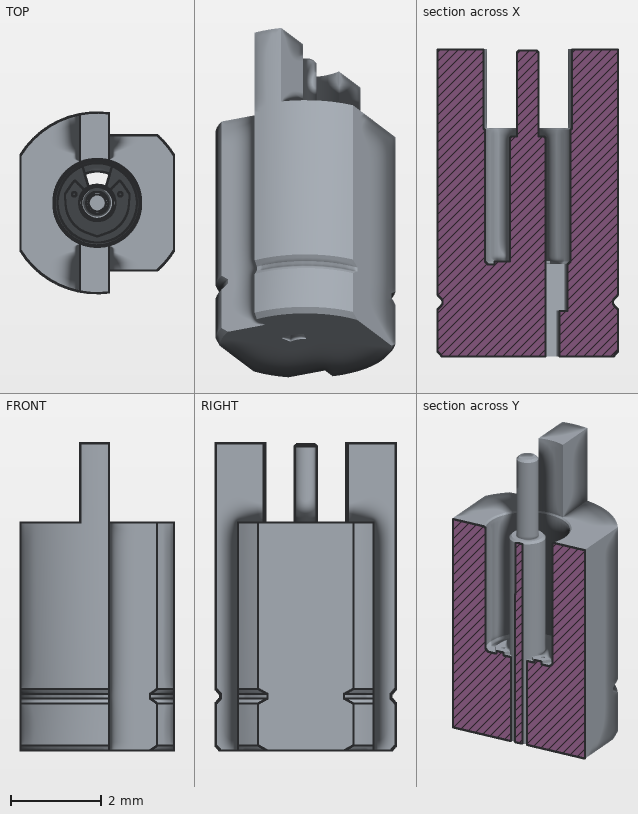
import cadquery as cq
import math

HEIGHT = 6.8
BODY_HEIGHT = 5.045
BODY_RADIUS = 2.0
SIDE_FLAT_X = 1.7
STEP_X = 0.265
STEP_HALF_WIDTH = 1.495
LEG_LEFT_X = -0.38

GROOVE_BOTTOM_Z = 1.04
GROOVE_TOP_Z = 1.37
GROOVE_DEPTH = 0.1
GROOVE_FLANK = 0.115
BASE_CHAMFER_HEIGHT = 0.115
BASE_CHAMFER_WIDTH = 0.1

LEG_GAP_RADIUS = 0.97
RIM_CHAMFER = 0.035
BORE_RADIUS = LEG_GAP_RADIUS - RIM_CHAMFER
FLOOR_CHAMFER = 0.06
FLOOR_RADIUS = BORE_RADIUS - FLOOR_CHAMFER
FLOOR_Z = 2.04

PIN_RADIUS = 0.245
PIN_TOP_Z = 6.78
PIN_CHAMFER = 0.055
SHOULDER_RADIUS = 0.4
SHOULDER_TOP_Z = 4.875
SHOULDER_CHAMFER = 0.05

PAD_RADIUS = 0.7
PAD_TIP_RADIUS = 0.74
PAD_SIDE_TIP_ANGLE = 15.0
PAD_OPENING_START = 45.0
PAD_HEIGHT = 0.07
PAD_HOLE_RADIUS = 0.05
PAD_HOLE_X = 0.51
PAD_HOLE_Y = 0.19
PAD_HOLE_DEPTH = 0.135

WINDOW_NARROW_HALF_WIDTH = 0.19
WINDOW_WIDE_HALF_WIDTH = 0.35
WINDOW_NARROW_Y = 0.355
WINDOW_LEDGE_Z = 1.02
WINDOW_THROUGH_RADIUS = 0.695


def revolve_profile(points):
    """Turn a closed radius-height profile around the Z axis."""
    return cq.Workplane("XZ").polyline(points).close().revolve(360, (0, 0), (0, 1))


def cylinder(radius, bottom, top):
    return cq.Workplane("XY").workplane(offset=bottom).circle(radius).extrude(top - bottom)


def block(x_min, x_max, half_width, bottom, top):
    return (
        cq.Workplane("XY")
        .workplane(offset=bottom)
        .center((x_min + x_max) / 2, 0)
        .rect(x_max - x_min, 2 * half_width)
        .extrude(top - bottom)
    )


def make_shell():
    """Grooved round body, trimmed by the side flats and the narrower +X part."""
    groove_radius = BODY_RADIUS - GROOVE_DEPTH
    turned = revolve_profile([
        (0, 0),
        (BODY_RADIUS - BASE_CHAMFER_WIDTH, 0),
        (BODY_RADIUS, BASE_CHAMFER_HEIGHT),
        (BODY_RADIUS, GROOVE_BOTTOM_Z),
        (groove_radius, GROOVE_BOTTOM_Z + GROOVE_FLANK),
        (groove_radius, GROOVE_TOP_Z - GROOVE_FLANK),
        (BODY_RADIUS, GROOVE_TOP_Z),
        (BODY_RADIUS, HEIGHT),
        (0, HEIGHT),
    ])
    wide_part = block(-SIDE_FLAT_X, STEP_X, BODY_RADIUS, 0, BODY_HEIGHT)
    narrow_part = block(STEP_X, SIDE_FLAT_X, STEP_HALF_WIDTH, 0, BODY_HEIGHT)
    legs = block(LEG_LEFT_X, STEP_X, BODY_RADIUS, BODY_HEIGHT, HEIGHT)
    return turned.intersect(wide_part.union(narrow_part).union(legs))


def make_bore():
    """Straight gap between the legs, then the bore with its two chamfers."""
    return revolve_profile([
        (0, FLOOR_Z),
        (FLOOR_RADIUS, FLOOR_Z),
        (BORE_RADIUS, FLOOR_Z + FLOOR_CHAMFER),
        (BORE_RADIUS, BODY_HEIGHT - RIM_CHAMFER),
        (LEG_GAP_RADIUS, BODY_HEIGHT),
        (LEG_GAP_RADIUS, HEIGHT),
        (0, HEIGHT),
    ])


def polar_point(radius, angle):
    """Point at a distance from the Z axis and an angle in degrees from +X."""
    return radius * math.cos(math.radians(angle)), radius * math.sin(math.radians(angle))


def make_pad():
    """Disc sector open towards +Y, with three tips whose sides run tangent to its edge."""
    tip_half_angle = math.degrees(math.acos(PAD_RADIUS / PAD_TIP_RADIUS))
    opening_end = -180 - PAD_OPENING_START
    edge_angle = PAD_OPENING_START
    floor_plane = cq.Workplane("XY").workplane(offset=FLOOR_Z)
    outline = floor_plane.lineTo(*polar_point(PAD_RADIUS, edge_angle))

    def arc_to(path, start, end):
        middle = (start + end) / 2
        return path.threePointArc(polar_point(PAD_RADIUS, middle), polar_point(PAD_RADIUS, end))

    for tip_angle in (PAD_SIDE_TIP_ANGLE, -90, -180 - PAD_SIDE_TIP_ANGLE):
        outline = arc_to(outline, edge_angle, tip_angle + tip_half_angle)
        outline = outline.lineTo(*polar_point(PAD_TIP_RADIUS, tip_angle))
        edge_angle = tip_angle - tip_half_angle
        outline = outline.lineTo(*polar_point(PAD_RADIUS, edge_angle))
    return arc_to(outline, edge_angle, opening_end).close().extrude(PAD_HEIGHT)


def make_pad_holes():
    pad_top = FLOOR_Z + PAD_HEIGHT
    return (
        cq.Workplane("XY")
        .workplane(offset=pad_top)
        .pushPoints([(-PAD_HOLE_X, PAD_HOLE_Y), (PAD_HOLE_X, PAD_HOLE_Y)])
        .circle(PAD_HOLE_RADIUS)
        .extrude(-PAD_HOLE_DEPTH)
    )


def make_window():
    """Wedge-shaped pocket whose inner part continues through the base."""
    wedge = (
        cq.Workplane("XY")
        .moveTo(-WINDOW_NARROW_HALF_WIDTH, WINDOW_NARROW_Y)
        .lineTo(WINDOW_NARROW_HALF_WIDTH, WINDOW_NARROW_Y)
        .lineTo(WINDOW_WIDE_HALF_WIDTH, FLOOR_RADIUS)
        .lineTo(-WINDOW_WIDE_HALF_WIDTH, FLOOR_RADIUS)
        .close()
        .extrude(FLOOR_Z)
    )
    pocket_limit = cylinder(FLOOR_RADIUS, WINDOW_LEDGE_Z, FLOOR_Z)
    passage_limit = cylinder(WINDOW_THROUGH_RADIUS, 0, FLOOR_Z)
    window = wedge.intersect(pocket_limit.union(passage_limit))
    return window.cut(cylinder(SHOULDER_RADIUS, 0, FLOOR_Z))


def make_pin():
    return revolve_profile([
        (0, FLOOR_Z),
        (SHOULDER_RADIUS, FLOOR_Z),
        (SHOULDER_RADIUS, SHOULDER_TOP_Z - SHOULDER_CHAMFER),
        (SHOULDER_RADIUS - SHOULDER_CHAMFER, SHOULDER_TOP_Z),
        (PIN_RADIUS, SHOULDER_TOP_Z),
        (PIN_RADIUS, PIN_TOP_Z - PIN_CHAMFER),
        (PIN_RADIUS - PIN_CHAMFER, PIN_TOP_Z),
        (0, PIN_TOP_Z),
    ])


result = (
    make_shell()
    .cut(make_bore())
    .union(make_pad())
    .cut(make_pad_holes())
    .cut(make_window())
    .union(make_pin())
)